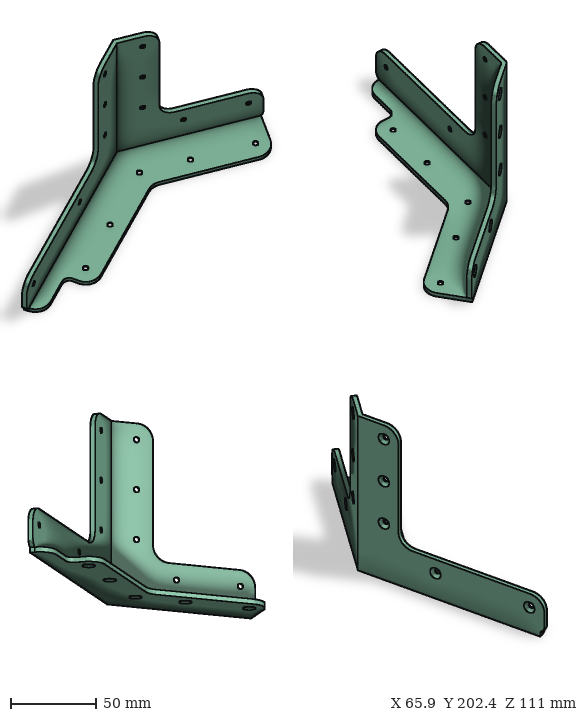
import cadquery as cq
import math

thickness = 3.0
height = 111.0
arm_height = 28.1
floor_width = 31.4
corner_radius = 10.0

hole_diameter = 3.2
sink_diameter = 7.5
sink_angle = 90
floor_hole_inset = 21.2
arm_hole_z = 18.2
tower_hole_top_z = 101.2
tower_hole_pitch = 30.4
tower_hole_count = 3
tower_hole_levels = [tower_hole_top_z - i * tower_hole_pitch for i in range(tower_hole_count)]

rear_angle = 27.4
front_angle = 20.8
overall_span = 202.4
rear_span = 81.4
front_span = overall_span - rear_span
rear_length = rear_span / math.cos(math.radians(rear_angle))
front_length = front_span / math.cos(math.radians(front_angle))
rear_floor_setback = 1.6
front_floor_setback = 3.2
rear_tower_width = 27.5
front_tower_width = 28.1
rear_tower_hole_inset = 17.2
front_tower_hole_inset = 18.0
rear_floor_length = rear_length - rear_floor_setback
front_floor_length = front_length - front_floor_setback
rear_arm_holes = [42.3, 82.4]
front_arm_holes = [53.8, 119.0]
rear_floor_holes = [40.9, 81.0]
front_floor_holes = [51.2, 85.8]

end_round_z = 7.9
rear_end_radius = 8.0
front_end_radius = 5.5

tongue_width = 12.7
tongue_start = 96.0
tongue_root_radius = 4.9


def on_arm(angle, side, along, inward):
    """Plan position at a distance along an arm and inward from its outer face."""
    a = math.radians(angle)
    x = along * math.sin(a) + inward * math.cos(a)
    y = side * (along * math.cos(a) - inward * math.sin(a))
    return x, y


def on_rear(along, inward):
    return on_arm(rear_angle, 1, along, inward)


def on_front(along, inward):
    return on_arm(front_angle, -1, along, inward)


def on_bisector(inward):
    """Plan position on the corner bisector at an equal distance from both outer faces."""
    half_turn = math.radians(rear_angle + front_angle) / 2
    direction = math.radians(front_angle - rear_angle) / 2
    reach = inward / math.cos(half_turn)
    return reach * math.cos(direction), reach * math.sin(direction)


def wall_plane(angle, side):
    """Plane on the outer face of a wall: local x along the arm, local y up."""
    a = math.radians(angle)
    along = cq.Vector(math.sin(a), side * math.cos(a), 0)
    return cq.Plane(origin=(0, 0, 0), xDir=along, normal=along.cross(cq.Vector(0, 0, 1)))


def corner_prism():
    """Plan of the two walls joined in a mitre at the corner, at full height."""
    plan = [
        (0, 0),
        on_rear(rear_length, 0),
        on_rear(rear_length, thickness),
        on_bisector(thickness),
        on_front(front_length, thickness),
        on_front(front_length, 0),
    ]
    return cq.Workplane("XY").polyline(plan).close().extrude(height)


def wall_profile(angle, side, length, tower_width, end_radius):
    """Solid whose outline is the side of one wall, deep enough to span the wall."""
    r = corner_radius
    drop = end_round_z - thickness
    end_cut = end_radius - math.sqrt(end_radius**2 - drop**2)
    half_angle = math.asin(drop / end_radius) / 2
    mid_cut = end_radius * (1 - math.cos(half_angle))
    mid_z = end_round_z - end_radius * math.sin(half_angle)
    bow = r * (1 - math.sqrt(0.5))
    return (
        cq.Workplane(wall_plane(angle, side))
        .moveTo(-thickness, 0)
        .lineTo(length - end_cut, 0)
        .lineTo(length - end_cut, thickness)
        .threePointArc((length - mid_cut, mid_z), (length, end_round_z))
        .lineTo(length, arm_height - r)
        .threePointArc((length - bow, arm_height - bow), (length - r, arm_height))
        .lineTo(tower_width + r, arm_height)
        .threePointArc((tower_width + bow, arm_height + bow), (tower_width, arm_height + r))
        .lineTo(tower_width, height - r)
        .threePointArc((tower_width - bow, height - bow), (tower_width - r, height))
        .lineTo(-thickness, height)
        .close()
        .extrude(2 * thickness, both=True)
    )


def walls():
    prism = corner_prism()
    rear = wall_profile(rear_angle, 1, rear_length, rear_tower_width, rear_end_radius)
    front = wall_profile(front_angle, -1, front_length, front_tower_width, front_end_radius)
    return prism.intersect(rear).union(prism.intersect(front))


def floor():
    plan = [
        (0, 0),
        on_rear(rear_floor_length, 0),
        on_rear(rear_floor_length, floor_width),
        on_bisector(floor_width),
        on_front(tongue_start, floor_width),
        on_front(tongue_start, tongue_width),
        on_front(front_floor_length, tongue_width),
        on_front(front_floor_length, 0),
    ]
    plate = cq.Workplane("XY").polyline(plan).close().extrude(thickness)

    def round_corners(body, corners, radius):
        for x, y in corners:
            edge = cq.selectors.NearestToPointSelector((x, y, thickness / 2))
            body = body.edges("|Z").edges(edge).fillet(radius)
        return body

    plate = round_corners(plate, [plan[5]], tongue_root_radius)
    return round_corners(plate, [plan[2], plan[3], plan[4], plan[6]], corner_radius)


def countersunk_hole(point, direction):
    """Cutter entering the outer face at a point and running in a direction."""
    sink_depth = (sink_diameter - hole_diameter) / 2 / math.tan(math.radians(sink_angle / 2))
    start = cq.Vector(*point)
    drill = cq.Solid.makeCylinder(hole_diameter / 2, 2 * thickness, start, direction)
    sink = cq.Solid.makeCone(sink_diameter / 2, hole_diameter / 2, sink_depth, start, direction)
    return drill.fuse(sink)


def wall_holes(on_wall, tower_hole_inset, arm_holes):
    """Cutters for one wall: a column on the tower and a row on the arm."""
    inward = cq.Vector(*on_wall(0, 1), 0)
    spots = [(tower_hole_inset, z) for z in tower_hole_levels]
    spots += [(along, arm_hole_z) for along in arm_holes]
    return [countersunk_hole((*on_wall(along, 0), z), inward) for along, z in spots]


def floor_holes():
    """Cutters entering the underside of the floor, one of them at the corner."""
    spots = [on_bisector(floor_hole_inset)]
    spots += [on_rear(along, floor_hole_inset) for along in rear_floor_holes]
    spots += [on_front(along, floor_hole_inset) for along in front_floor_holes]
    return [countersunk_hole((x, y, 0), cq.Vector(0, 0, 1)) for x, y in spots]


result = walls().union(floor())
cutters = wall_holes(on_rear, rear_tower_hole_inset, rear_arm_holes)
cutters += wall_holes(on_front, front_tower_hole_inset, front_arm_holes)
cutters += floor_holes()
for cutter in cutters:
    result = result.cut(cutter)